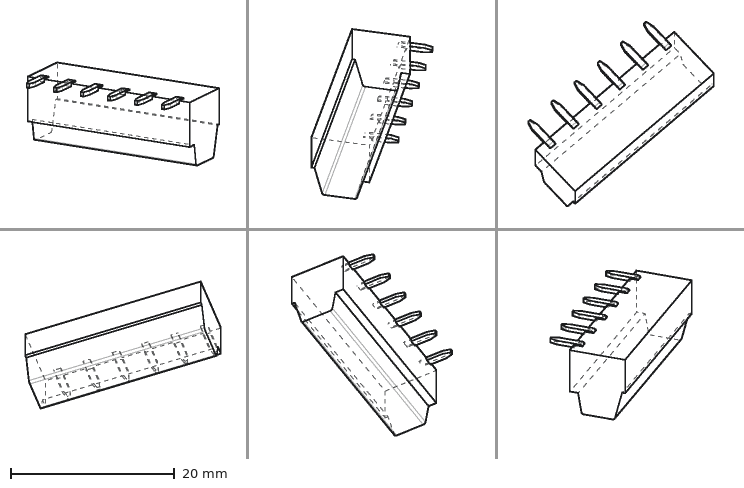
import cadquery as cq

length = 22.85
body_depth = 7.27
body_height = 8.5
back_wall_height = 4.6
front_wall_height = 5.7
back_ledge = 0.4
front_ledge = 1.1
back_taper_inset = 1.4
front_taper_inset = 1.58
nose_radius = 0.35

pin_count = 6
pin_pitch = length / pin_count
pin_width = 0.9
pin_thickness = 0.55
pin_rise = 0.2
pin_reach = 3.22
pin_flat_overlap = 0.7
bend_radius = 0.5
tip_length = 1.0
tip_width = 0.37

pin_top = body_height + pin_rise
pin_bottom = pin_top - pin_thickness
pin_rear = pin_flat_overlap + bend_radius
first_pin_x = -pin_pitch * (pin_count - 1) / 2


def make_housing():
    """Block with ledges on both sides and a tapered, rounded nose below."""
    back_ledge_z = body_height - back_wall_height
    front_ledge_z = body_height - front_wall_height
    profile = [
        (0, body_height),
        (body_depth, body_height),
        (body_depth, back_ledge_z),
        (body_depth - back_ledge, back_ledge_z),
        (body_depth - back_taper_inset, 0),
        (front_taper_inset, 0),
        (front_ledge, front_ledge_z),
        (0, front_ledge_z),
    ]
    block = cq.Workplane("YZ").polyline(profile).close().extrude(length / 2, both=True)
    return block.faces("<Z").edges("|X").fillet(nose_radius)


def make_pin(x):
    """Blade with a tapered tip and a rounded-over rear end, centred at x."""
    shoulder_y = tip_length - pin_reach
    outline = [
        (x - pin_width / 2, pin_rear),
        (x - pin_width / 2, shoulder_y),
        (x - tip_width / 2, -pin_reach),
        (x + tip_width / 2, -pin_reach),
        (x + pin_width / 2, shoulder_y),
        (x + pin_width / 2, pin_rear),
    ]
    blade = (
        cq.Workplane("XY", origin=(0, 0, pin_bottom))
        .polyline(outline)
        .close()
        .extrude(pin_thickness)
    )
    rear_top_edge = blade.faces(">Y").edges(">Z")
    return rear_top_edge.fillet(bend_radius)


result = make_housing()
for index in range(pin_count):
    result = result.union(make_pin(first_pin_x + index * pin_pitch))